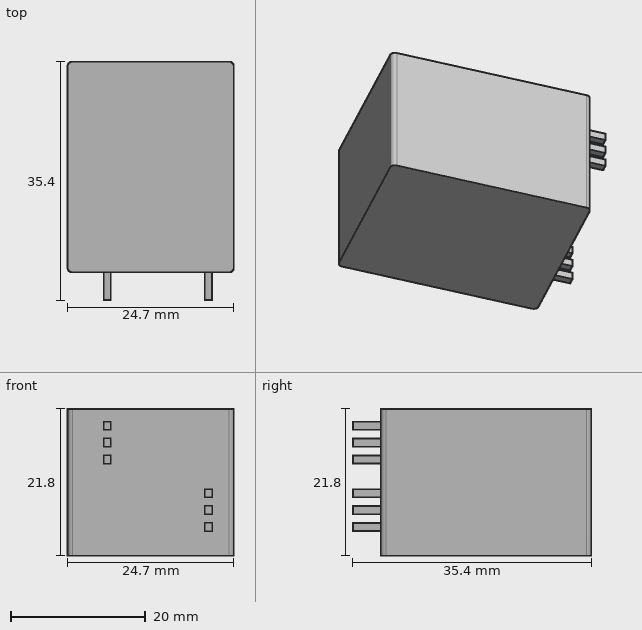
import cadquery as cq

width = 24.7
total_depth = 35.4
height = 21.8
corner_radius = 0.75

pin_length = 4.1
pin_width = 1.1
pin_height = 1.25
pins_per_row = 3
row_spacing = 15.0
pitches_between_rows = 6
pitches_of_drop = 4
pin_pitch = row_spacing / pitches_between_rows
left_row_x = -6.45
right_row_x = left_row_x + row_spacing
left_row_top_z = 8.4
right_row_top_z = left_row_top_z - pitches_of_drop * pin_pitch

body_depth = total_depth - pin_length


def housing():
    block = cq.Workplane("XY").box(width, body_depth, height)
    return block.edges("|Z").fillet(corner_radius)


def pin_row(x, top_z):
    """A vertical row of pins, listed downwards from its top pin."""
    centers = [(x, top_z - i * pin_pitch) for i in range(pins_per_row)]
    return (
        cq.Workplane("XZ", origin=(0, -body_depth / 2, 0))
        .pushPoints(centers)
        .rect(pin_width, pin_height)
        .extrude(pin_length)
    )


result = (
    housing()
    .union(pin_row(left_row_x, left_row_top_z))
    .union(pin_row(right_row_x, right_row_top_z))
)